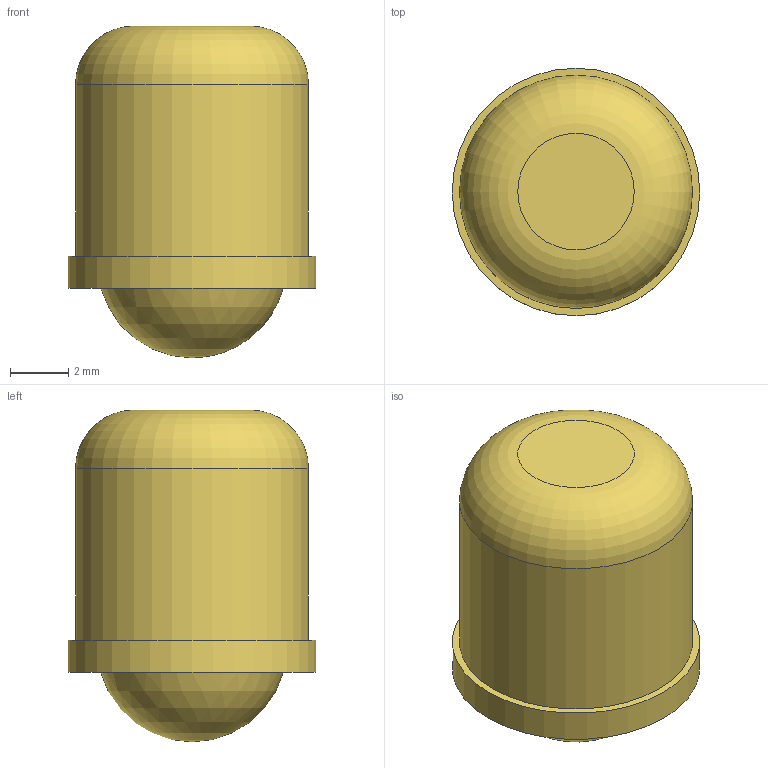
import cadquery as cq

flange_diameter = 8.5
flange_height = 1.1
body_diameter = 8.0
housing_height = 9.0
top_fillet_radius = 2.0

ball_radius = 3.25
ball_protrusion = 2.39


def make_flange():
    """Flange disc with its underside on Z = 0."""
    return cq.Workplane("XY").circle(flange_diameter / 2).extrude(flange_height)


def make_body():
    """Cylinder from the flange underside to the top, with a rounded top edge."""
    body = cq.Workplane("XY").circle(body_diameter / 2).extrude(housing_height)
    return body.faces(">Z").edges().fillet(top_fillet_radius)


def make_ball():
    """Ball seated in the housing, its lowest point below the flange."""
    center_height = ball_radius - ball_protrusion
    return cq.Workplane("XY").sphere(ball_radius).translate((0, 0, center_height))


result = make_flange().union(make_body()).union(make_ball())